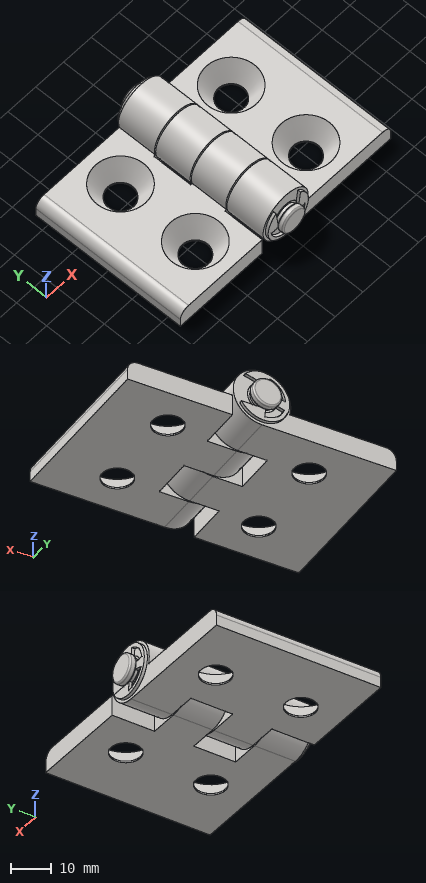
import cadquery as cq
import math


hinge_width = 75.75
leaf_length = 48.3
leaf_thickness = 6.0
edge_radius = 2.95

knuckle_radius = 8.1
knuckle_count = 4
gap_spacing = 11.9
knuckle_gap = 0.4
edge_clearance = 0.2

hole_offset_x = 19.9
hole_spacing_y = 25.0
hole_diameter = 8.5
countersink_diameter = 16.6
hole_land = 0.45

pin_length = 54.2
pin_radius = 4.1
groove_radius = 3.5
groove_width = 1.0
collar_round = 0.45

ring_thickness = 0.9
ring_radius = 7.3
ring_tip_half_gap = 4.4
ring_throat_half_gap = 3.6
window_radius = 6.1
window_top = -1.0
prong_root_half_width = 1.45
prong_tip_half_width = 1.05
rear_ring_angle = 83.0

half_length = leaf_length / 2
leaf_bottom = -knuckle_radius
leaf_top = leaf_bottom + leaf_thickness
leaf_inner_edge = knuckle_radius + edge_clearance
gap_centres = [(i - knuckle_count / 2) * gap_spacing for i in range(1, knuckle_count)]
knuckle_starts = [-half_length] + [y + knuckle_gap / 2 for y in gap_centres]
knuckle_ends = [y - knuckle_gap / 2 for y in gap_centres] + [half_length]


def cylinder_y(radius, y_start, y_end):
    """Cylinder on the pin axis between two Y positions."""
    return cq.Workplane("XZ", origin=(0, y_start, 0)).circle(radius).extrude(y_start - y_end)


def block(x_start, x_end, y_start, y_end):
    """Block as thick as a leaf, resting on the bottom plane of the hinge."""
    return cq.Workplane("XY").box(
        x_end - x_start, y_end - y_start, leaf_thickness, centered=False
    ).translate((x_start, y_start, leaf_bottom))


def knuckle(y_start, y_end):
    """Barrel segment joined to a leaf on its +X side by a tangent web."""
    web = block(0, leaf_inner_edge, y_start, y_end)
    return cylinder_y(knuckle_radius, y_start, y_end).union(web)


def screw_hole(x, y):
    """Cutter for a countersunk hole that keeps a short straight land at the bottom of the leaf."""
    profile = [
        (0, leaf_bottom),
        (hole_diameter / 2, leaf_bottom),
        (hole_diameter / 2, leaf_bottom + hole_land),
        (countersink_diameter / 2, leaf_top),
        (0, leaf_top),
    ]
    cutter = cq.Workplane("XZ").polyline(profile).close().revolve(360, (0, 0, 0), (0, 1, 0))
    return cutter.translate((x, y, 0))


def make_leaf(first_knuckle):
    """Leaf on the +X side that carries every second knuckle, counted from -Y."""
    plate = block(leaf_inner_edge, hinge_width / 2, -half_length, half_length)
    leaf = plate.edges(">X and >Z").fillet(edge_radius)
    for i in range(first_knuckle, knuckle_count, 2):
        leaf = leaf.union(knuckle(knuckle_starts[i], knuckle_ends[i]))
    leaf = leaf.cut(cylinder_y(pin_radius, -half_length, half_length))
    for side in (-1, 1):
        leaf = leaf.cut(screw_hole(hole_offset_x, side * hole_spacing_y / 2))
    return leaf


def make_pin():
    """Pin with a groove for each ring and a rounded collar outside each groove."""
    half_pin = pin_length / 2
    collar_start = half_length + groove_width
    pin_solid = cylinder_y(groove_radius, -half_pin, half_pin)
    pin_solid = pin_solid.union(cylinder_y(pin_radius, -half_length, half_length))
    collar = cylinder_y(pin_radius, collar_start, half_pin).edges().fillet(collar_round)
    return pin_solid.union(collar).union(collar.mirror("XZ"))


def make_ring(y_start, opening_angle):
    """Three-pronged ring from y_start towards +Y; its opening is turned from +Z towards +X."""
    y_end = y_start + ring_thickness
    plane = cq.Workplane("XZ", origin=(0, y_end, 0))

    tip_height = math.sqrt(ring_radius**2 - ring_tip_half_gap**2)
    flare = (ring_tip_half_gap - ring_throat_half_gap) / tip_height
    mouth_half_gap = ring_throat_half_gap + flare * ring_radius
    opening = plane.polyline([
        (-ring_throat_half_gap, 0),
        (ring_throat_half_gap, 0),
        (mouth_half_gap, ring_radius),
        (-mouth_half_gap, ring_radius),
    ]).close().extrude(ring_thickness)

    rim_middle = -(window_radius + ring_radius) / 2
    prong_root = -math.sqrt(window_radius**2 - prong_root_half_width**2)
    prong = plane.polyline([
        (-prong_root_half_width, prong_root),
        (-prong_root_half_width, rim_middle),
        (prong_root_half_width, rim_middle),
        (prong_root_half_width, prong_root),
        (prong_tip_half_width, -groove_radius),
        (prong_tip_half_width, 0),
        (-prong_tip_half_width, 0),
        (-prong_tip_half_width, -groove_radius),
    ]).close().extrude(ring_thickness)
    window_limit = (
        plane.center(0, window_top - window_radius / 2)
        .rect(2 * window_radius, window_radius)
        .extrude(ring_thickness)
    )
    windows = cylinder_y(window_radius, y_start, y_end).intersect(window_limit).cut(prong)

    ring = cylinder_y(ring_radius, y_start, y_end).cut(opening).cut(windows)
    ring = ring.cut(cylinder_y(groove_radius, y_start, y_end))
    return ring.rotate((0, 0, 0), (0, 1, 0), opening_angle)


right_leaf = make_leaf(0)
left_leaf = make_leaf(1).mirror("YZ")
pin = make_pin()
front_ring = make_ring(-half_length - ring_thickness, 0)
rear_ring = make_ring(half_length, rear_ring_angle)

result = cq.Compound.makeCompound([
    right_leaf.val(),
    left_leaf.val(),
    pin.val(),
    front_ring.val(),
    rear_ring.val(),
])